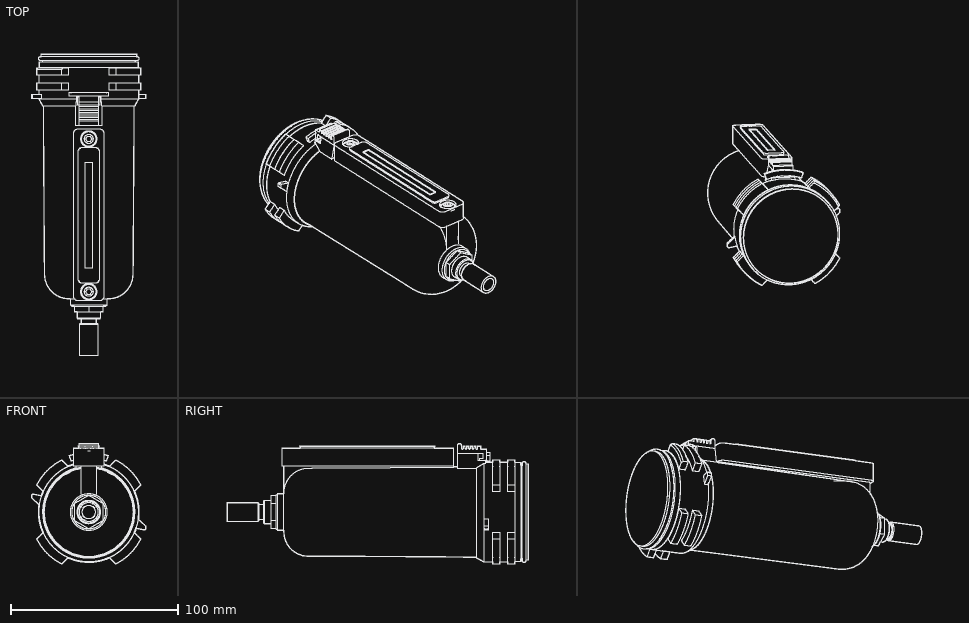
import cadquery as cq
import math


rim_diameter = 57.5
neck_diameter = 59.4
collar_diameter = 59.8
groove_diameter = 55.6
shoulder_diameter = 55.0
bowl_top_diameter = 54.4
bowl_bottom_diameter = 53.1
groove_start = 1.5
collar_start = 8.0
collar_end = 26.6
shoulder_end = 31.0
dome_start = 131.4
bowl_length = 146.2
dome_radius = bowl_length - dome_start
rib_width = 9.4

ring_section = 2.3
groove_width = 3.0
ring_centre_radius = (groove_diameter + ring_section) / 2

lug_radius = 35.1
lug_width = 21.2
lug_length = 4.3
lug_starts = (8.1, 17.1)
lug_angles = (45, 135, 225, 315)
marked_lug_angle = 135
lug_chamfer = 1.0

tab_start = 24.0
tab_length = 2.5
tab_span = 68.2
tab_reach = tab_span / 2
tab_outline = ((-27.9, 9.7), (-33.5, 10.8), (-tab_reach, 10.3), (-tab_reach, 8.5), (-28.8, 3.5))

gauge_width = 18.4
gauge_start = 44.6
gauge_end = 147.2
gauge_bottom = 27.4
gauge_top = 38.2
gauge_corner_radius = 2.9
plate_width = 12.6
plate_start = 55.8
plate_end = 136.6
plate_height = 1.3
plate_corner_radius = 2.0
plate_undercut_angle = 20
window_width = 4.3
window_start = 64.8
window_end = 127.8
window_depth = 0.5
screw_places = (50.5, 141.8)
screw_hole_diameter = 9.7
screw_hole_depth = 1.8
screw_head_diameter = 8.6
screw_top_diameter = 5.4
screw_socket_size = 3.6
screw_socket_depth = 1.5

block_width = 15.8
block_foot = 25.7
block_start = 25.5
block_end = 42.5
block_top = 35.0
notch_end = 30.2
notch_bottom = 30.8
notch_web = 8.6
button_width = 11.9
button_top = 37.6
leg_start = 25.0
leg_end = 27.0
foot_end = 29.3
foot_height = 1.3
grip_count = 5
grip_start = 28.5
grip_pitch = 2.2
grip_groove_width = 0.9
grip_groove_radius = 0.43
grip_top = 39.5
ridge_width = 2.5
ridge_radius = 1.0
ridge_top = 40.9
hook_start = 22.9
hook_inner_radius = 32.2
hook_outer_radius = 35.6
hook_half_width = 11.7

hub_diameter = 22.0
hub_length = 4.5
hub_chamfer = 0.9
hex_corners = 20.0
hex_length = 3.2
hex_turn = 30
collet_diameter = 14.0
collet_length = 4.3
collet_chamfer = 0.5
drain_neck_diameter = 9.0
drain_neck_length = 2.7
tube_diameter = 11.3
tube_bore = 8.0
tube_chamfer = 0.5
total_length = 180.0


def along_bowl(start):
    """Workplane across the bowl at a distance from the rim; extrusion runs toward the drain."""
    return cq.Workplane("XZ", origin=(0, -start, 0))


def box_between(width, start, end, bottom, top):
    """Box centred on x = 0 between two distances from the rim and two heights."""
    size = (width, end - start, top - bottom)
    middle = (0, -(start + end) / 2, (bottom + top) / 2)
    return cq.Workplane("XY").box(*size).translate(middle)


def bowl():
    groove_end = groove_start + groove_width
    flat_radius = bowl_bottom_diameter / 2 - dome_radius
    dome_mid_radius = flat_radius + dome_radius * math.cos(math.pi / 4)
    dome_mid = dome_start + dome_radius * math.sin(math.pi / 4)
    return (
        cq.Workplane("XY")
        .moveTo(0, 0)
        .lineTo(rim_diameter / 2, 0)
        .lineTo(rim_diameter / 2, -groove_start)
        .lineTo(groove_diameter / 2, -groove_start)
        .lineTo(groove_diameter / 2, -groove_end)
        .lineTo(neck_diameter / 2, -groove_end)
        .lineTo(neck_diameter / 2, -collar_start)
        .lineTo(collar_diameter / 2, -collar_start)
        .lineTo(collar_diameter / 2, -collar_end)
        .lineTo(shoulder_diameter / 2, -shoulder_end)
        .lineTo(bowl_top_diameter / 2, -shoulder_end)
        .lineTo(bowl_bottom_diameter / 2, -dome_start)
        .threePointArc((dome_mid_radius, -dome_mid), (flat_radius, -bowl_length))
        .lineTo(0, -bowl_length)
        .close()
        .revolve(360, (0, 0, 0), (0, 1, 0))
    )


def lug(start, angle, chamfered):
    disc = along_bowl(start).circle(lug_radius).extrude(lug_length)
    if chamfered:
        disc = disc.faces(">Y").chamfer(lug_chamfer)
    bar = along_bowl(start).center(lug_radius, 0).rect(2 * lug_radius, lug_width).extrude(lug_length)
    return disc.intersect(bar.rotate((0, 0, 0), (0, 1, 0), -angle))


def stop_tab():
    return along_bowl(tab_start).polyline(tab_outline).close().extrude(tab_length)


def rib():
    return box_between(rib_width, gauge_start, bowl_length, 0, gauge_bottom)


def gauge_body():
    body = box_between(gauge_width, gauge_start, gauge_end, gauge_bottom, gauge_top)
    return body.edges("|Z").fillet(gauge_corner_radius)


def gauge_plate():
    """Raised plate whose rim overhangs its foot."""
    plate = (
        cq.Workplane("XY", origin=(0, -(plate_start + plate_end) / 2, gauge_top + plate_height))
        .sketch()
        .rect(plate_width, plate_end - plate_start)
        .vertices()
        .fillet(plate_corner_radius)
        .finalize()
        .extrude(-plate_height, taper=plate_undercut_angle)
    )
    plate_top = gauge_top + plate_height
    window = box_between(window_width, window_start, window_end, plate_top - window_depth, plate_top)
    return plate.cut(window)


def screw_recess(place):
    """Round well around a domed screw head."""
    hole = (
        cq.Workplane("XY", origin=(0, -place, gauge_top))
        .circle(screw_hole_diameter / 2)
        .extrude(-screw_hole_depth)
    )
    head = (
        cq.Workplane("XY", origin=(0, -place, gauge_top - screw_hole_depth))
        .circle(screw_head_diameter / 2)
        .workplane(offset=screw_hole_depth)
        .circle(screw_top_diameter / 2)
        .loft()
    )
    socket = (
        cq.Workplane("XY", origin=(0, -place, gauge_top))
        .polygon(6, screw_socket_size)
        .extrude(-screw_socket_depth)
    )
    return hole.cut(head).union(socket)


def latch_block():
    """Tapered block below the latch, with a pocket on each side for the latch foot."""
    outline = (
        (-block_width / 2, 0),
        (block_width / 2, 0),
        (block_width / 2, block_foot),
        (button_width / 2, block_top),
        (-button_width / 2, block_top),
        (-block_width / 2, block_foot),
    )
    block = along_bowl(block_start).polyline(outline).close().extrude(block_end - block_start)
    leg_slot = box_between(block_width, leg_start, leg_end, notch_bottom, block_top)
    notch = box_between(block_width, leg_end, notch_end, notch_bottom, block_top)
    web = box_between(notch_web, leg_end, notch_end, notch_bottom, block_top)
    return block.cut(leg_slot).cut(notch.cut(web))


def make_housing():
    housing = bowl().union(rib()).union(gauge_body()).union(gauge_plate()).union(latch_block())
    for start in lug_starts:
        for angle in lug_angles:
            chamfered = start == lug_starts[0] and angle == marked_lug_angle
            housing = housing.union(lug(start, angle, chamfered))
    for turn in (0, 180):
        housing = housing.union(stop_tab().rotate((0, 0, 0), (0, 1, 0), turn))
    for place in screw_places:
        housing = housing.cut(screw_recess(place))
    return housing


def make_o_ring():
    centre_y = -(groove_start + ring_section / 2)
    return (
        cq.Workplane("XY")
        .center(ring_centre_radius, centre_y)
        .circle(ring_section / 2)
        .revolve(360, (-ring_centre_radius, 0, 0), (-ring_centre_radius, 1, 0))
    )


def latch_button():
    return box_between(button_width, leg_start, block_end, block_top, button_top)


def latch_leg():
    """Leg hanging from the button, with a foot hooked around each side of the block's web."""
    foot_top = notch_bottom + foot_height
    leg = box_between(button_width, leg_start, leg_end, notch_bottom, block_top)
    foot = box_between(button_width, leg_end, foot_end, notch_bottom, foot_top)
    web = box_between(notch_web, leg_end, foot_end, notch_bottom, foot_top)
    return leg.union(foot.cut(web))


def latch_hook():
    """Arc-shaped bar concentric with the bowl."""
    length = leg_start - hook_start
    ring = along_bowl(hook_start).circle(hook_outer_radius).circle(hook_inner_radius).extrude(length)
    slope = math.asin(hook_half_width / hook_outer_radius)
    height = 2 * hook_outer_radius
    spread = height * math.tan(slope)
    wedge = ((0, 0), (spread, height), (-spread, height))
    sector = along_bowl(hook_start).polyline(wedge).close().extrude(length)
    return ring.intersect(sector)


def grip_groove(end):
    """Round-bottomed groove across the button, ending at a distance from the rim."""
    groove = box_between(button_width, end - grip_groove_width, end, button_top, grip_top)
    return groove.edges("|X and <Z").fillet(grip_groove_radius)


def latch_grips():
    ridge_start = block_end - ridge_width
    ridge = box_between(button_width, ridge_start, block_end, button_top, ridge_top)
    ridge = ridge.edges("|X and >Z").fillet(ridge_radius)
    grips = box_between(button_width, grip_start, ridge_start, button_top, grip_top)
    for index in range(grip_count):
        grips = grips.cut(grip_groove(ridge_start - index * grip_pitch))
    return ridge.union(grips)


def make_latch():
    return latch_button().union(latch_leg()).union(latch_hook()).union(latch_grips())


def make_drain():
    hex_start = bowl_length + hub_length
    collet_start = hex_start + hex_length
    neck_start = collet_start + collet_length
    tube_start = neck_start + drain_neck_length
    tube_length = total_length - tube_start

    hub = along_bowl(bowl_length).circle(hub_diameter / 2).extrude(hub_length)
    hub = hub.faces("<Y").chamfer(hub_chamfer)
    hexagon = along_bowl(hex_start).polygon(6, hex_corners).extrude(hex_length)
    hexagon = hexagon.rotate((0, 0, 0), (0, 1, 0), hex_turn)
    collet = along_bowl(collet_start).circle(collet_diameter / 2).extrude(collet_length)
    collet = collet.faces("<Y").chamfer(collet_chamfer)
    neck = along_bowl(neck_start).circle(drain_neck_diameter / 2).extrude(drain_neck_length)
    tube = along_bowl(tube_start).circle(tube_diameter / 2).extrude(tube_length)
    tube = tube.faces(">Y").chamfer(tube_chamfer)
    bore = along_bowl(tube_start).circle(tube_bore / 2).extrude(tube_length)
    return hub.union(hexagon).union(collet).union(neck).union(tube).cut(bore)


housing = make_housing()
o_ring = make_o_ring()
latch = make_latch()
drain = make_drain()

bodies = (housing, o_ring, latch, drain)
result = cq.Compound.makeCompound([body.solids().val() for body in bodies])